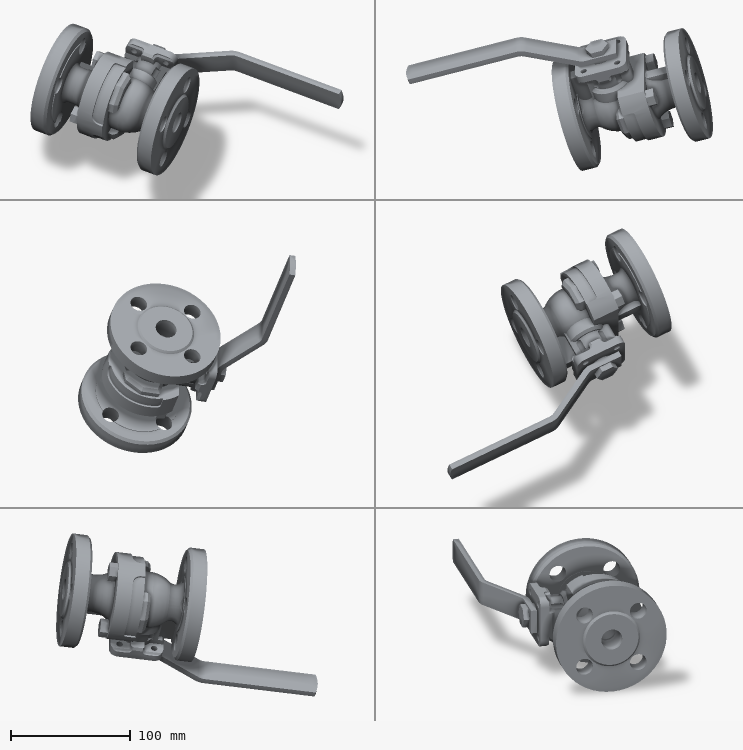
import cadquery as cq
import math


flange_radius = 47.5
flange_start = 1.8
flange_thickness = 14.0
body_end = 115.0
flange_edge = 2.0
raised_face_radius = 24.5
raised_face_bevel = 1.8
back_pad_radius = 35.8
back_pad_height = 0.7
right_pad_radius = 23.5
hole_circle_radius = 32.5
hole_radius = 7.0

mouth_radius = 9.0
bore_radius = 7.8
mouth_depth = 21.5

left_neck_start = flange_start + flange_thickness
left_neck_radius = 15.5
neck_waist_start = 21.5
neck_waist_end = 25.7
collar_start = 39.5
left_neck_foot = 19.3
left_neck_head = 21.3
left_foot_middle = (18.0, 16.5)
left_head_middle = (34.0, 17.7)
housing_radius = 23.5
dome_start = 71.5
dome_middle = (79.9, 21.5)
dome_end = 86.8
dome_end_radius = 17.7
waist_x = 91.5
waist_radius = 15.4
right_neck_foot = 21.0
wrench_radius = 15.8
wrench_length = 4.1

collar_radius = 36.5
collar_end = 62.7
collar_flat = 24.0
band_start = 52.3
band_radius = 34.9
band_lower_gap = 7.3
band_top = 10.5
band_corner = 6.9
band_top_corner = 2.3

pad_end = 69.8
pad_inner = 14.7
pad_shoulder = 23.0
pad_outer = 32.5
pad_top = 9.2
pad_slope_start = -9.2
pad_slope_end = -22.5
pad_bottom = -24.3
pad_bevel = 2.8

bolt_circle_radius = 28.7
bolt_count = 3
bolt_hex_radius = 7.8
bolt_hex_tilt = 10
bolt_height = 6.9

stem_x = 69.5
plate_top = 50.3
plate_bottom = 37.9
plate_bevel_height = 2.5
plate_bevel = 1.4
plate_length = 44.8
plate_width = 44.0
plate_corner = 7.0
lug_bottom = 42.7
lug_bridge = 5.7
lug_bevel = 1.4
lug_rim_depth = 2.8
lug_corner = 2.8
lug_hole_offset = 14.7
lug_hole_radius = 2.8
bar_left = 20.9
bar_right = 17.0
bar_width = 18.4
bar_corner = 5.5
stem_neck_radius = 14.2
base_length = 34.5
base_width = 36.0
base_corner = 16.0
base_bevel = 2.3
base_top = 26.9
channel_offset_x = 10.3
channel_offset_z = 10.5
channel_radius = 2.5
channel_floor = 29.5

web_width = 10.0
right_web_top = 39.5
left_web_top = 20.7

boss_radius = 10.0
boss_height = 1.4
handle_bottom = plate_top + boss_height
handle_thickness = 5.0
handle_half_width = 10.0
handle_start = 54.0
handle_end = 229.5
handle_tip_rise = 1.8
grip_bottom = 78.0
grip_bend_x = 130.5
bend_angle = 30
bend_inner_radius = 10.3
nut_hex_radius = 9.9
nut_height = 4.8


def disc(x_start, x_end, radius):
    """Cylinder about the pipe axis."""
    return cq.Workplane("YZ", origin=(x_start, 0, 0)).circle(radius).extrude(x_end - x_start)


def box(x_range, y_range, z_range):
    """Axis-aligned block given by its limits."""
    lows, highs = zip(x_range, y_range, z_range)
    sizes = [high - low for low, high in zip(lows, highs)]
    return cq.Workplane("XY").box(*sizes, centered=False).translate(lows)


def stem_plane(y):
    """Sketch plane across the stem at height y; extrude negative lengths toward +Y."""
    return cq.Workplane("XZ", origin=(stem_x, y, 0))


def flange(pad_radius):
    """Drilled pipe flange whose raised face looks toward -X and starts at x = 0."""
    back = flange_start + flange_thickness
    plate = disc(flange_start, back, flange_radius).faces(">X").edges().chamfer(flange_edge)
    face = cq.Solid.makeCone(raised_face_radius - raised_face_bevel, raised_face_radius, flange_start,
                             cq.Vector(0, 0, 0), cq.Vector(1, 0, 0))
    back_pad = disc(back, back + back_pad_height, pad_radius)
    holes = (
        cq.Workplane("YZ")
        .polarArray(hole_circle_radius, 45, 360, 4)
        .circle(hole_radius)
        .extrude(back + back_pad_height)
    )
    return plate.union(face).union(back_pad).cut(holes)


def pipe_body():
    """Turned shape of the adapter neck, the ball housing and the right neck."""
    right_neck_end = body_end - left_neck_start
    profile = (
        cq.Workplane("XY")
        .moveTo(left_neck_start, 0)
        .lineTo(left_neck_start, left_neck_foot)
        .threePointArc(left_foot_middle, (neck_waist_start, left_neck_radius))
        .lineTo(neck_waist_end, left_neck_radius)
        .threePointArc(left_head_middle, (collar_start, left_neck_head))
        .lineTo(collar_start, housing_radius)
        .lineTo(dome_start, housing_radius)
        .threePointArc(dome_middle, (dome_end, dome_end_radius))
        .threePointArc((waist_x, waist_radius), (right_neck_end, right_neck_foot))
        .lineTo(right_neck_end, 0)
        .close()
    )
    clearance = (
        cq.Workplane("YZ", origin=(right_neck_end - wrench_length, 0, 0))
        .polarArray(hole_circle_radius, 45, 360, 4)
        .circle(wrench_radius)
        .extrude(wrench_length)
    )
    return profile.revolve(360, (0, 0, 0), (1, 0, 0)).cut(clearance)


def collar():
    """Clamping collar with a flat toward the stem and a sunk band on each side."""
    ring = disc(collar_start, collar_end, collar_radius)
    ring = ring.cut(box((collar_start, collar_end), (collar_flat, collar_radius),
                        (-collar_radius, collar_radius)))
    reach = 2 * collar_radius
    sides = box((band_start, collar_end + band_corner), (-reach, band_top), (band_lower_gap, reach))
    sides = sides.edges("|Y and <X and <Z").fillet(band_corner)
    sides = sides.edges("|Z and <X and >Y").fillet(band_top_corner)
    band = sides.cut(disc(collar_start, pad_end, band_radius))
    return ring.cut(band).cut(band.mirror("XY"))


def side_pad():
    """Faceted cast pad on the +Z side of the housing."""
    return (
        cq.Workplane("YZ", origin=(collar_end, 0, 0))
        .polyline([(pad_top, pad_inner), (pad_top, pad_shoulder), (pad_top - pad_bevel, pad_outer),
                   (pad_slope_start, pad_outer), (pad_slope_end, pad_shoulder), (pad_bottom, pad_inner)])
        .close()
        .extrude(pad_end - collar_end)
        .faces(">X").edges("not <Z").chamfer(pad_bevel)
    )


def bolt_heads():
    """Hexagon heads on the left face of the collar."""
    heads = cq.Workplane("YZ")
    for i in range(bolt_count):
        angle = math.pi + i * 2 * math.pi / bolt_count
        head = (
            cq.Workplane("YZ")
            .polygon(6, 2 * bolt_hex_radius)
            .extrude(bolt_height)
            .rotate((0, 0, 0), (1, 0, 0), bolt_hex_tilt)
            .translate((collar_start - bolt_height,
                        bolt_circle_radius * math.cos(angle),
                        bolt_circle_radius * math.sin(angle)))
        )
        heads.add(head)
    return heads.combine()


def stem_neck():
    """Column between the housing and the mounting plate, with four ball-ended channels."""
    base = stem_plane(0).rect(base_length, base_width).extrude(-base_top)
    base = base.edges("|Y").fillet(base_corner).faces(">Y").edges().chamfer(base_bevel)
    bar = box((stem_x - bar_left, stem_x + bar_right), (0, plate_bottom), (-bar_width / 2, bar_width / 2))
    bar = bar.edges("|Y and <X").fillet(bar_corner)
    neck = bar.union(stem_plane(0).circle(stem_neck_radius).extrude(-plate_bottom)).union(base)
    for sx in (-1, 1):
        for sz in (-1, 1):
            x = sx * channel_offset_x
            z = sz * channel_offset_z
            channel = stem_plane(channel_floor).center(x, z).circle(channel_radius)
            neck = neck.cut(channel.extrude(channel_floor - plate_bottom))
            neck = neck.cut(cq.Workplane("XY").sphere(channel_radius)
                            .translate((stem_x + x, channel_floor, z)))
    return neck


def mounting_plate():
    """Stem plate with a thinned, drilled lug at each corner."""
    plate = stem_plane(plate_bottom).rect(plate_length, plate_width)
    plate = plate.extrude(plate_bottom - plate_top).edges("|Y").fillet(plate_corner)
    plate = plate.faces("<Y").edges().chamfer(plate_bevel_height, plate_bevel)
    side = plate_width / 2
    relief = box((lug_bridge, plate_length), (0, lug_bottom), (bar_width / 2, side))
    relief = relief.edges("|Z and >Y and <X").fillet(lug_corner)
    rim = box((lug_bridge - lug_bevel, plate_length), (0, lug_bottom + lug_bevel),
              (side - lug_rim_depth, side))
    rim = rim.edges("|Z and >Y and <X").fillet(lug_corner + lug_bevel)
    rim = rim.faces("<Z").edges("not (<Y or >X)").chamfer(lug_bevel)
    relief = relief.union(rim).translate((stem_x, 0, 0))
    relief = relief.cut(stem_plane(0).circle(stem_neck_radius).extrude(-plate_top))
    holes = (
        stem_plane(plate_bottom)
        .rect(2 * lug_hole_offset, 2 * lug_hole_offset, forConstruction=True)
        .vertices()
        .circle(lug_hole_radius)
        .extrude(plate_bottom - plate_top)
    )
    plate = plate.cut(holes)
    for half in (relief, relief.mirror("XY")):
        plate = plate.cut(half).cut(half.mirror("YZ", (stem_x, 0, 0)))
    return plate


def handle():
    """Flat bar cranked away from the flange, with a curved tip."""
    slope_run = (grip_bottom - handle_bottom) / math.tan(math.radians(bend_angle))
    low_bend_x = grip_bend_x - slope_run
    miter = handle_thickness * math.tan(math.radians(bend_angle / 2))
    bar = (
        cq.Workplane("XY", origin=(0, 0, -handle_half_width))
        .polyline([(handle_start, handle_bottom), (low_bend_x, handle_bottom),
                   (grip_bend_x, grip_bottom), (handle_end, grip_bottom),
                   (handle_end, grip_bottom + handle_thickness),
                   (grip_bend_x - miter, grip_bottom + handle_thickness),
                   (low_bend_x - miter, handle_bottom + handle_thickness),
                   (handle_start, handle_bottom + handle_thickness)])
        .close()
        .extrude(2 * handle_half_width)
    )
    outer_radius = bend_inner_radius + handle_thickness

    def bend(solid, x, y, radius):
        return solid.edges(cq.NearestToPointSelector((x, y, 0))).fillet(radius)

    bar = bend(bar, low_bend_x, handle_bottom, outer_radius)
    bar = bend(bar, low_bend_x - miter, handle_bottom + handle_thickness, bend_inner_radius)
    bar = bend(bar, grip_bend_x, grip_bottom, bend_inner_radius)
    bar = bend(bar, grip_bend_x - miter, grip_bottom + handle_thickness, outer_radius)
    outline = (
        cq.Workplane("XZ")
        .moveTo(handle_start, -handle_half_width)
        .lineTo(handle_end - handle_tip_rise, -handle_half_width)
        .threePointArc((handle_end, 0), (handle_end - handle_tip_rise, handle_half_width))
        .lineTo(handle_start, handle_half_width)
        .close()
        .extrude(-2 * grip_bottom)
    )
    return bar.intersect(outline)


def stem_top():
    """Boss under the handle and the nut on top of it."""
    nut_top = handle_bottom + handle_thickness + nut_height
    boss = stem_plane(plate_bottom).circle(boss_radius).extrude(plate_bottom - handle_bottom)
    nut = stem_plane(handle_bottom).polygon(6, 2 * nut_hex_radius).extrude(handle_bottom - nut_top)
    return boss.union(nut)


def webs():
    """Upright ribs that tie the necks to the flanges on the stem side."""
    half = web_width / 2
    left = box((left_neck_start, collar_start), (0, left_web_top), (-half, half))
    right = box((stem_x, body_end - left_neck_start), (0, right_web_top), (-half, half))
    return left.union(right)


def bore():
    """Through bore with a wider mouth at each end."""
    passage = disc(0, body_end, bore_radius)
    return passage.union(disc(0, mouth_depth, mouth_radius)).union(
        disc(body_end - mouth_depth, body_end, mouth_radius))


left_flange = flange(back_pad_radius)
right_flange = flange(right_pad_radius).mirror("YZ").translate((body_end, 0, 0))
pad = side_pad()

result = pipe_body()
for feature in (left_flange, right_flange, collar(), pad, pad.mirror("XY"), bolt_heads(), webs(),
                stem_neck(), mounting_plate(), stem_top(), handle()):
    result = result.union(feature)
result = result.cut(bore())